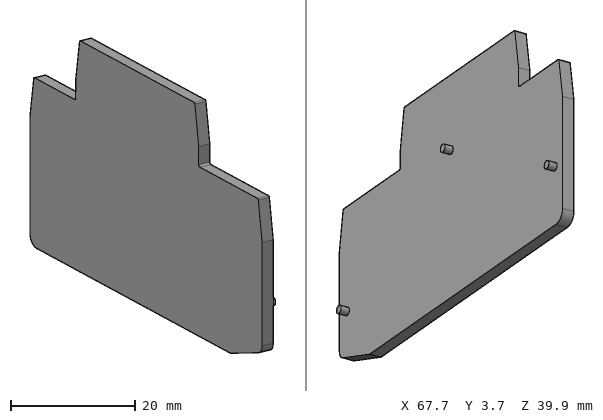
import cadquery as cq

length = 67.7
height = 39.9
total_depth = 3.7
plate_thickness = 2.2

shoulder_height = 29.25
block_left = -20.5
block_right = 15.4
taper_inset = 1.15
taper_height = 7.2
top_corner_radius = 0.3
inner_corner_radius = 0.35
bottom_left_radius = 2.0
bottom_right_radius = 1.6
slope_start_x = 24.65
slope_rise = 3.05

pin_diameter = 1.4
pin_edge_distance = 2.4
outer_pin_height = 10.4
middle_pin_height = 26.35

half_length = length / 2


def corner_edges(x, z):
    """Select the plate edge running along Y through the corner (x, z)."""
    reach = 0.1
    return cq.selectors.BoxSelector(
        (x - reach, -reach, z - reach),
        (x + reach, plate_thickness + reach, z + reach),
    )


def make_plate():
    """Flat plate with a raised block, tapered sides and rounded corners."""
    top_corners = [
        (half_length - taper_inset, shoulder_height),
        (block_right - taper_inset, height),
        (block_left + taper_inset, height),
        (-half_length + taper_inset, shoulder_height),
    ]
    outline = [
        (-half_length, 0),
        (slope_start_x, 0),
        (half_length, slope_rise),
        (half_length, shoulder_height - taper_height),
        top_corners[0],
        (block_right, shoulder_height),
        (block_right, height - taper_height),
        top_corners[1],
        top_corners[2],
        (block_left, height - taper_height),
        (block_left, shoulder_height),
        top_corners[3],
        (-half_length, shoulder_height - taper_height),
    ]
    plate = cq.Workplane("XZ").polyline(outline).close().extrude(-plate_thickness)

    for x, z in top_corners:
        plate = plate.edges(corner_edges(x, z)).fillet(top_corner_radius)
    for x in (block_left, block_right):
        plate = plate.edges(corner_edges(x, shoulder_height)).fillet(inner_corner_radius)
    plate = plate.edges(corner_edges(-half_length, 0)).fillet(bottom_left_radius)
    return plate.edges(corner_edges(half_length, slope_rise)).fillet(bottom_right_radius)


def make_pins():
    """Three round pins standing on the back face."""
    outer_pin_x = half_length - pin_edge_distance
    centres = [
        (-outer_pin_x, outer_pin_height),
        (0, middle_pin_height),
        (outer_pin_x, outer_pin_height),
    ]
    pin_length = total_depth - plate_thickness
    back_face = cq.Workplane("XZ", origin=(0, plate_thickness, 0))
    return back_face.pushPoints(centres).circle(pin_diameter / 2).extrude(-pin_length)


result = make_plate().union(make_pins())